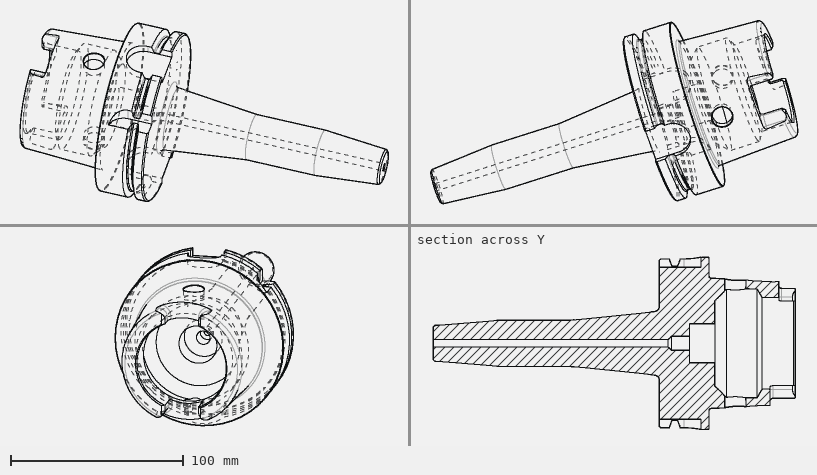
import cadquery as cq
import math


total_length = 210.0
shank_length = 50.0
flange_width = 29.0
flange_end = shank_length + flange_width
cylinder_start = 130.2
cylinder_end = 171.5

shank_radius = 75.5 / 2
shank_taper_slope = 1 / 20
shank_taper_end = 47.7
shank_tip_round = 2.0
root_land = 1.0
root_fillet = shank_length - shank_taper_end - root_land

flange_radius = 100.0 / 2
shoulder_chamfer = 0.5
flange_chamfer = 0.8
groove_offset = 20.0
groove_center = shank_length + groove_offset
groove_floor_radius = 45.8
groove_top_half_width = 3.2
groove_wall_angle = math.radians(20)
groove_fillet = 0.8

nose_cone_start = 82.0
nose_cone_radius = 18.5
nose_fillet_radius = 21.5
nose_cylinder_radius = 27.0 / 2
tip_radius = 10.5
tip_chamfer = 1.0

mouth_radius = 53.0 / 2
mouth_chamfer_height = 0.6
mouth_chamfer_length = 1.3
mouth_depth = 19.3
recess_radius = 63.0 / 2
clamping_cone_angle = math.radians(60)
recess_start = mouth_depth + (recess_radius - mouth_radius) / math.tan(clamping_cone_angle)
recess_end = 40.0
cavity_floor_radius = 24.8
cavity_floor = recess_end + recess_radius - cavity_floor_radius
thread_radius = 22.5 / 2
thread_depth = 14.7
thread_bottom = cavity_floor + thread_depth
pilot_radius = 8.0 / 2
pilot_depth = 10.5
pilot_bottom = thread_bottom + pilot_depth
coolant_radius = 4.2 / 2

slot_half_width = 9.9
slot_top_depth = 9.7
slot_bottom_depth = 14.7
slot_flare_start = 26.9
slot_flare_radius = 5.0
slot_edge = 1.7

cross_hole_x = 34.9
cross_hole_radius = 12.0 / 2
cross_hole_chamfer = 0.32

notch_start = 54.8
notch_half_width = 9.9
notch_floor = 44.0
corner_notch_wall = 31.3


def turned_body():
    """Shank, flange and nose as one revolved outline."""
    taper_start_radius = shank_radius - shank_taper_slope * (shank_taper_end - shank_tip_round)
    tip_face_radius = taper_start_radius - shank_tip_round
    round_mid = shank_tip_round * math.sqrt(0.5)
    fillet_mid = root_fillet * math.sqrt(0.5)
    fillet_line = shank_taper_end + root_land
    fillet_center_radius = groove_floor_radius + groove_fillet
    wall_foot_radius = fillet_center_radius - groove_fillet * math.sin(groove_wall_angle)
    wall_foot = (
        groove_top_half_width - (flange_radius - wall_foot_radius) * math.tan(groove_wall_angle)
    )
    floor_half_width = wall_foot - groove_fillet * math.cos(groove_wall_angle)
    fillet_mid_angle = (math.pi / 2 + groove_wall_angle) / 2
    groove_fillet_mid = floor_half_width + groove_fillet * math.cos(fillet_mid_angle)
    groove_fillet_mid_radius = fillet_center_radius - groove_fillet * math.sin(fillet_mid_angle)
    nose_fillet_mid = (
        nose_cone_start - (nose_cone_start - flange_end) * math.sqrt(0.5),
        nose_fillet_radius - (nose_fillet_radius - nose_cone_radius) * math.sqrt(0.5),
    )
    outline = (
        cq.Workplane("XY")
        .moveTo(0, 0)
        .lineTo(0, tip_face_radius)
        .threePointArc(
            (shank_tip_round - round_mid, tip_face_radius + round_mid),
            (shank_tip_round, taper_start_radius),
        )
        .lineTo(shank_taper_end, shank_radius)
        .lineTo(fillet_line, shank_radius)
        .threePointArc(
            (fillet_line + fillet_mid, shank_radius + root_fillet - fillet_mid),
            (shank_length, shank_radius + root_fillet),
        )
        .lineTo(shank_length, flange_radius - shoulder_chamfer)
        .lineTo(shank_length + shoulder_chamfer, flange_radius)
        .lineTo(groove_center - groove_top_half_width, flange_radius)
        .lineTo(groove_center - wall_foot, wall_foot_radius)
        .threePointArc(
            (groove_center - groove_fillet_mid, groove_fillet_mid_radius),
            (groove_center - floor_half_width, groove_floor_radius),
        )
        .lineTo(groove_center + floor_half_width, groove_floor_radius)
        .threePointArc(
            (groove_center + groove_fillet_mid, groove_fillet_mid_radius),
            (groove_center + wall_foot, wall_foot_radius),
        )
        .lineTo(groove_center + groove_top_half_width, flange_radius)
        .lineTo(flange_end - flange_chamfer, flange_radius)
        .lineTo(flange_end, flange_radius - flange_chamfer)
        .lineTo(flange_end, nose_fillet_radius)
        .threePointArc(nose_fillet_mid, (nose_cone_start, nose_cone_radius))
        .lineTo(cylinder_start, nose_cylinder_radius)
        .lineTo(cylinder_end, nose_cylinder_radius)
        .lineTo(total_length - tip_chamfer, tip_radius)
        .lineTo(total_length, tip_radius - tip_chamfer)
        .lineTo(total_length, 0)
        .close()
    )
    return outline.revolve(360, (0, 0, 0), (1, 0, 0))


def bores():
    """Clamping cavity, threaded socket, pilot bore and through coolant bore."""
    pilot_cone_length = pilot_radius - coolant_radius
    outline = (
        cq.Workplane("XY")
        .moveTo(0, 0)
        .lineTo(0, mouth_radius + mouth_chamfer_height)
        .lineTo(mouth_chamfer_length, mouth_radius)
        .lineTo(mouth_depth, mouth_radius)
        .lineTo(recess_start, recess_radius)
        .lineTo(recess_end, recess_radius)
        .lineTo(cavity_floor, cavity_floor_radius)
        .lineTo(cavity_floor, thread_radius)
        .lineTo(thread_bottom, thread_radius)
        .lineTo(thread_bottom, pilot_radius)
        .lineTo(pilot_bottom, pilot_radius)
        .lineTo(pilot_bottom + pilot_cone_length, coolant_radius)
        .lineTo(total_length, coolant_radius)
        .lineTo(total_length, 0)
        .close()
    )
    return outline.revolve(360, (0, 0, 0), (1, 0, 0))


def drive_slot(depth):
    """Upward slot cutter with outward flaring walls, a filleted floor and a chamfered mouth."""
    flare_end = slot_half_width + slot_flare_radius
    flare_top = slot_flare_start + slot_flare_radius
    flare_mid = slot_flare_radius * math.sqrt(0.5)
    mid_y = flare_end - flare_mid
    mid_z = slot_flare_start + flare_mid
    slot = (
        cq.Workplane("YZ")
        .moveTo(-slot_half_width, 0)
        .lineTo(slot_half_width, 0)
        .lineTo(slot_half_width, slot_flare_start)
        .threePointArc((mid_y, mid_z), (flare_end, flare_top))
        .lineTo(flange_radius, flare_top)
        .lineTo(flange_radius, flange_radius)
        .lineTo(-flange_radius, flange_radius)
        .lineTo(-flange_radius, flare_top)
        .lineTo(-flare_end, flare_top)
        .threePointArc((-mid_y, mid_z), (-slot_half_width, slot_flare_start))
        .close()
        .extrude(depth)
        .faces(">X")
        .edges("not(<Z or >Z)")
        .fillet(slot_edge)
    )
    mouth = (
        cq.Workplane("XY")
        .moveTo(0, -slot_half_width - slot_edge)
        .lineTo(0, slot_half_width + slot_edge)
        .lineTo(slot_edge, slot_half_width)
        .lineTo(slot_edge, -slot_half_width)
        .close()
        .extrude(flare_top)
    )
    return slot.union(mouth)


def flange_notch(center_y, floor_z):
    """Round-ended cutter, open upwards and towards the nose."""
    end_center = notch_start + notch_half_width
    return (
        cq.Workplane("XY", origin=(0, center_y, floor_z))
        .moveTo(flange_end, -notch_half_width)
        .lineTo(end_center, -notch_half_width)
        .threePointArc((notch_start, 0), (end_center, notch_half_width))
        .lineTo(flange_end, notch_half_width)
        .close()
        .extrude(flange_radius)
    )


def with_cross_hole(body):
    """The body drilled through both shank walls, with both outer rims chamfered."""
    drill = (
        cq.Workplane("XY", origin=(cross_hole_x, 0, 0))
        .circle(cross_hole_radius)
        .extrude(shank_radius, both=True)
    )
    drilled = body.cut(drill)
    for side in (-1, 1):
        near = (cross_hole_x - 2 * cross_hole_radius, -2 * cross_hole_radius, side * recess_radius)
        far = (cross_hole_x + 2 * cross_hole_radius, 2 * cross_hole_radius, side * flange_radius)
        rim = cq.selectors.BoxSelector(near, far, boundingbox=True)
        drilled = drilled.edges(rim).chamfer(cross_hole_chamfer)
    return drilled


def half_turn(shape):
    """The shape turned to the opposite side of the axis."""
    return shape.rotate((0, 0, 0), (1, 0, 0), 180)


grip_notch = flange_notch(0, notch_floor)
corner_notch = flange_notch(-corner_notch_wall - notch_half_width, corner_notch_wall)

result = (
    with_cross_hole(turned_body().cut(bores()))
    .cut(drive_slot(slot_top_depth))
    .cut(half_turn(drive_slot(slot_bottom_depth)))
    .cut(grip_notch)
    .cut(half_turn(grip_notch))
    .cut(corner_notch)
)